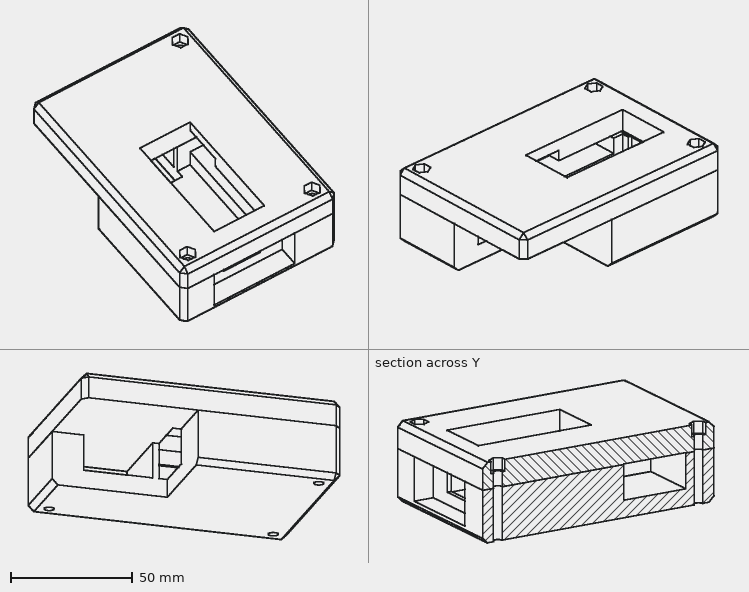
import cadquery as cq

LENGTH = 112.0
WIDTH = 77.0
HEIGHT = 35.0
BASE_HEIGHT = HEIGHT * 2 / 3
EDGE_CHAMFER = 2.5

NOTCH_LENGTH = 49.8
NOTCH_WIDTH = 41.9

WINDOW_X = (46.3, 100.8)
WINDOW_Y = (23.2, 48.2)
POCKET_FLOOR = 7.8

TRAY_END_X = 95.8
TRAY_END_Y = 65.0
TRAY_FLOOR = 16.0

PORT_INSET = 3.5
PORT_FLOOR = 9.4
PORT_LENGTH = 2.0
PLUG_WIDTH = 40.1
PLUG_FLOOR = 4.0

SLOT_X = (13.8, 43.6)

BOARD_END_X = 101.8
BOARD_THICKNESS = 1.6
PARTS_END_X = 64.8
LID_SKIN = 5.2

SCREW_INSET = 7.5
SCREW_DIAMETER = 4.0
NUT_DIAMETER = 7.5
NUT_DEPTH = 5.2
SCREW_POINTS = [
    (SCREW_INSET, WIDTH - SCREW_INSET),
    (LENGTH - SCREW_INSET, WIDTH - SCREW_INSET),
    (LENGTH - SCREW_INSET, SCREW_INSET),
]


def block(x_range, y_range, z_range):
    """Box spanning the given (start, end) ranges."""
    spans = (x_range, y_range, z_range)
    sizes = [end - start for start, end in spans]
    corner = tuple(start for start, end in spans)
    return cq.Workplane("XY").box(*sizes, centered=False).translate(corner)


def case_slice(z_range):
    """Part of the chamfered outer case that lies between two heights."""
    case = block((0, LENGTH), (0, WIDTH), (0, HEIGHT)).edges().chamfer(EDGE_CHAMFER)
    return case.intersect(block((0, LENGTH), (0, WIDTH), z_range))


def screw_holes():
    return cq.Workplane("XY").pushPoints(SCREW_POINTS).circle(SCREW_DIAMETER / 2).extrude(HEIGHT)


def nut_trap(x, y):
    """Hexagonal prism with two corners along Y, sunk from the top of the lid."""
    hexagon = cq.Workplane("XY").polygon(6, NUT_DIAMETER).extrude(NUT_DEPTH)
    return hexagon.rotate((0, 0, 0), (0, 0, 1), 90).translate((x, y, HEIGHT - NUT_DEPTH))


def port_cuts():
    """Narrow cable port and the wider plug recess outside it."""
    port_y = (WINDOW_Y[0] + PORT_INSET, WINDOW_Y[1] - PORT_INSET)
    plug_start_x = WINDOW_X[1] + PORT_LENGTH
    middle_y = sum(WINDOW_Y) / 2
    plug_y = (middle_y - PLUG_WIDTH / 2, middle_y + PLUG_WIDTH / 2)
    port = block((WINDOW_X[1], plug_start_x), port_y, (PORT_FLOOR, BASE_HEIGHT))
    plug_recess = block((plug_start_x, LENGTH), plug_y, (PLUG_FLOOR, BASE_HEIGHT))
    return port.union(plug_recess)


def make_base():
    notch = block((0, NOTCH_LENGTH), (0, NOTCH_WIDTH), (0, BASE_HEIGHT))
    pocket = block(WINDOW_X, WINDOW_Y, (POCKET_FLOOR, BASE_HEIGHT))
    tray = block((WINDOW_X[0], TRAY_END_X), (WINDOW_Y[1], TRAY_END_Y), (TRAY_FLOOR, BASE_HEIGHT))
    slot = block(SLOT_X, (NOTCH_WIDTH, WIDTH), (POCKET_FLOOR, BASE_HEIGHT))
    base = case_slice((0, BASE_HEIGHT))
    for cutter in (notch, pocket, tray, slot, port_cuts(), screw_holes()):
        base = base.cut(cutter)
    return base.solids()


def make_lid():
    recess_y = (WINDOW_Y[0], TRAY_END_Y)
    window = block(WINDOW_X, WINDOW_Y, (BASE_HEIGHT, HEIGHT))
    board_recess = block(
        (WINDOW_X[0], BOARD_END_X), recess_y, (BASE_HEIGHT, BASE_HEIGHT + BOARD_THICKNESS)
    )
    parts_recess = block((WINDOW_X[0], PARTS_END_X), recess_y, (BASE_HEIGHT, HEIGHT - LID_SKIN))
    lid = case_slice((BASE_HEIGHT, HEIGHT))
    for cutter in (window, board_recess, parts_recess, screw_holes()):
        lid = lid.cut(cutter)
    for x, y in SCREW_POINTS:
        lid = lid.cut(nut_trap(x, y))
    return lid.solids()


base = make_base()
lid = make_lid()

result = cq.Compound.makeCompound([base.val(), lid.val()])